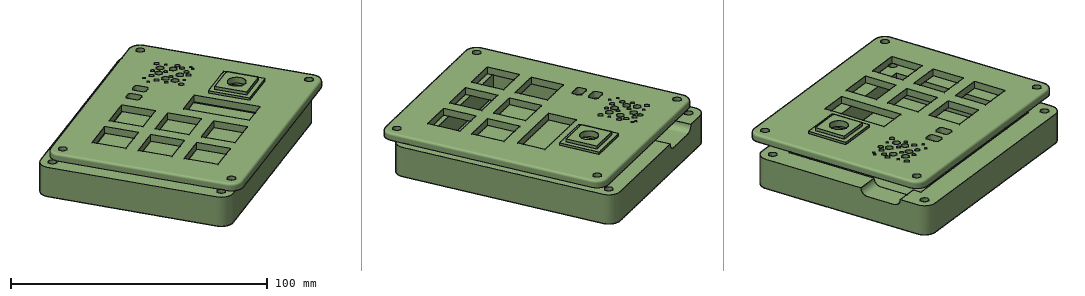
import cadquery as cq
WIDTH = 80.0
DEPTH = 97.0
CORNER_RADIUS = 5.0
SCREW_HOLE_DIAMETER = 3.4
SCREW_INSET = CORNER_RADIUS

HOUSING_HEIGHT = 12.9
WALL_THICKNESS = 9.5
FLOOR_THICKNESS = 3.0

NOTCH_WIDTH = 18.1
NOTCH_RADIUS = 3.0
NOTCH_CENTER_X = 22.1

LID_SHIFT_X = 5.2
LID_SHIFT_Y = -2.5
LID_GAP = 5.0
LID_THICKNESS = 3.0
LID_EDGE_RADIUS = 1.0
LID_BOTTOM = HOUSING_HEIGHT + LID_GAP
LID_TOP = LID_BOTTOM + LID_THICKNESS

KEY_SIZE = 14.0
KEY_PITCH = 19.1
KEY_COLUMNS = 3
KEY_ROWS = 2
KEY_GRID_CENTER = (WIDTH / 2, 30.5)

DISPLAY_WIDTH = 27.4
DISPLAY_DEPTH = 12.0
DISPLAY_CENTER = (51.2, 58.4)

BUTTON_WIDTH = 5.8
BUTTON_DEPTH = 4.2
BUTTON_CORNER_RADIUS = 1.2
BUTTON_CENTERS = [(16.0, 62.1), (16.0, 55.0)]

SPEAKER_HOLES = {
    3.0: [(17.3, 80.8), (22.4, 81.8), (18.3, 76.7), (26.6, 78.1), (22.3, 73.4), (26.4, 73.1)],
    2.0: [(14.8, 83.8), (23.0, 84.9), (25.4, 83.7), (28.1, 81.4),
          (29.7, 79.2), (16.3, 73.8), (19.5, 71.0), (29.7, 71.0)],
    1.5: [(20.4, 78.8), (15.3, 77.8), (23.8, 75.7), (23.7, 70.6)],
    1.0: [(18.5, 84.2), (28.3, 85.6), (29.5, 84.6), (29.5, 74.8), (14.3, 70.9), (16.9, 68.6)],
}

CAP_CENTER = (50.7, 76.5)
FLANGE_SIZE = 17.2
FLANGE_HEIGHT = 1.0
TILE_SIZE = 13.3
TILE_HEIGHT = 1.3
PLUG_DEPTH = 0.3
CAP_BORE_DIAMETER = 7.4


def footprint_plate(height):
    """Rounded rectangular plate shared by the housing and the lid."""
    return (
        cq.Workplane("XY")
        .box(WIDTH, DEPTH, height, centered=False)
        .edges("|Z")
        .fillet(CORNER_RADIUS)
    )


def drill_screw_holes(body):
    """Through holes at the centers of the four corner arcs."""
    corners = [
        (x, y)
        for x in (SCREW_INSET, WIDTH - SCREW_INSET)
        for y in (SCREW_INSET, DEPTH - SCREW_INSET)
    ]
    cutters = (
        cq.Workplane("XY").pushPoints(corners).circle(SCREW_HOLE_DIAMETER / 2).extrude(HOUSING_HEIGHT)
    )
    return body.cut(cutters)


def rectangular_cutter(width, depth, center):
    """Block that cuts a rectangular opening through the lid."""
    return cq.Workplane("XY").center(*center).rect(width, depth).extrude(LID_THICKNESS)


def make_housing():
    tray = drill_screw_holes(footprint_plate(HOUSING_HEIGHT))
    cavity = (
        cq.Workplane("XY", origin=(WIDTH / 2, DEPTH / 2, FLOOR_THICKNESS))
        .rect(WIDTH - 2 * WALL_THICKNESS, DEPTH - 2 * WALL_THICKNESS)
        .extrude(HOUSING_HEIGHT)
    )
    notch = (
        cq.Workplane("XZ", origin=(NOTCH_CENTER_X, DEPTH, HOUSING_HEIGHT))
        .slot2D(NOTCH_WIDTH, 2 * NOTCH_RADIUS)
        .extrude(WALL_THICKNESS)
    )
    return tray.cut(cavity).cut(notch)


def make_lid():
    lid = footprint_plate(LID_THICKNESS).faces(">Z").edges().fillet(LID_EDGE_RADIUS)
    lid = drill_screw_holes(lid)
    keys = (
        cq.Workplane("XY")
        .center(*KEY_GRID_CENTER)
        .rarray(KEY_PITCH, KEY_PITCH, KEY_COLUMNS, KEY_ROWS)
        .rect(KEY_SIZE, KEY_SIZE)
        .extrude(LID_THICKNESS)
    )
    lid = lid.cut(keys)
    lid = lid.cut(rectangular_cutter(DISPLAY_WIDTH, DISPLAY_DEPTH, DISPLAY_CENTER))
    lid = lid.cut(rectangular_cutter(TILE_SIZE, TILE_SIZE, CAP_CENTER))
    for center in BUTTON_CENTERS:
        button = rectangular_cutter(BUTTON_WIDTH, BUTTON_DEPTH, center)
        lid = lid.cut(button.edges("|Z").fillet(BUTTON_CORNER_RADIUS))
    for diameter, centers in SPEAKER_HOLES.items():
        holes = cq.Workplane("XY").pushPoints(centers).circle(diameter / 2).extrude(LID_THICKNESS)
        lid = lid.cut(holes)
    return lid.translate((LID_SHIFT_X, LID_SHIFT_Y, LID_BOTTOM))


def make_cap():
    x = CAP_CENTER[0] + LID_SHIFT_X
    y = CAP_CENTER[1] + LID_SHIFT_Y
    flange = cq.Workplane("XY", origin=(x, y, LID_TOP)).rect(FLANGE_SIZE, FLANGE_SIZE).extrude(FLANGE_HEIGHT)
    core_height = PLUG_DEPTH + FLANGE_HEIGHT + TILE_HEIGHT
    core_base = cq.Workplane("XY", origin=(x, y, LID_TOP - PLUG_DEPTH))
    core = core_base.rect(TILE_SIZE, TILE_SIZE).extrude(core_height)
    bore = (
        cq.Workplane("XY", origin=(x, y, LID_TOP - PLUG_DEPTH))
        .circle(CAP_BORE_DIAMETER / 2)
        .extrude(core_height)
    )
    return flange.union(core).cut(bore)


housing = make_housing()
lid = make_lid()
cap = make_cap()

result = cq.Compound.makeCompound([housing.val(), lid.val(), cap.val()])